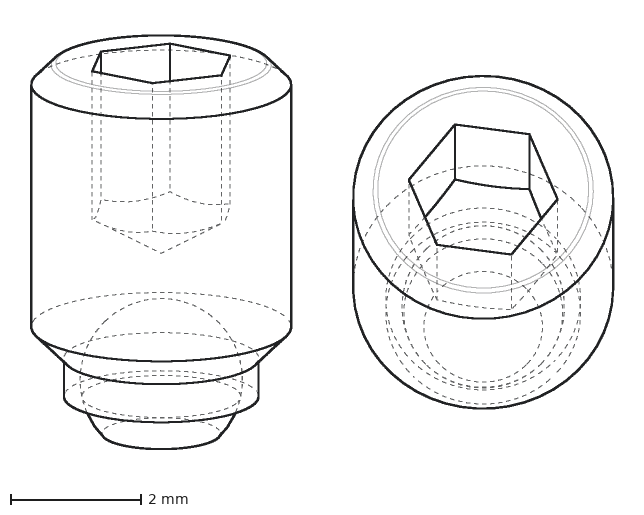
import cadquery as cq
import math

body_radius = 2.0
total_height = 5.9
tip_height = 0.59
collar_height = 0.61
collar_radius = 1.5
top_chamfer = 0.335
rim_fillet = 0.1

socket_flats = 2.0
socket_depth = 2.36
socket_cone_angle = 120.0

ball_radius = 1.25
ball_center_height = 0.855

collar_top = tip_height + collar_height
lower_cone_top = collar_top + body_radius - collar_radius


def make_socket():
    """Hexagonal prism whose lower end is trimmed by a cone."""
    corner_radius = socket_flats / math.sqrt(3)
    cone_depth = corner_radius / math.tan(math.radians(socket_cone_angle / 2))
    cone_top = total_height - socket_depth
    cone_bottom = cone_top - cone_depth
    hexagon = (
        cq.Workplane("XY")
        .workplane(offset=cone_bottom)
        .polygon(6, 2 * corner_radius)
        .extrude(total_height - cone_bottom)
    )
    drill = (
        cq.Workplane("XZ")
        .moveTo(0, cone_bottom)
        .lineTo(corner_radius, cone_top)
        .lineTo(corner_radius, total_height)
        .lineTo(0, total_height)
        .close()
        .revolve(360, (0, 0, 0), (0, 1, 0))
    )
    return hexagon.intersect(drill)


def make_ball():
    """Ball cut off flat at its lower end."""
    sphere = cq.Workplane("XY").sphere(ball_radius).translate((0, 0, ball_center_height))
    keep_above_flat = (
        cq.Workplane("XY")
        .circle(body_radius)
        .extrude(total_height)
    )
    return sphere.intersect(keep_above_flat)


def make_screw(ball):
    """Chamfered cylinder with a collar, a hexagon socket and a seat that fits the ball."""
    blank = (
        cq.Workplane("XZ")
        .moveTo(0, tip_height)
        .lineTo(collar_radius, tip_height)
        .lineTo(collar_radius, collar_top)
        .lineTo(body_radius, lower_cone_top)
        .lineTo(body_radius, total_height - top_chamfer)
        .lineTo(body_radius - top_chamfer, total_height)
        .lineTo(0, total_height)
        .close()
        .revolve(360, (0, 0, 0), (0, 1, 0))
        .faces(">Z")
        .edges()
        .fillet(rim_fillet)
    )
    return blank.cut(make_socket()).cut(ball)


ball = make_ball()
screw = make_screw(ball)
result = cq.Compound.makeCompound([screw.val(), ball.val()])